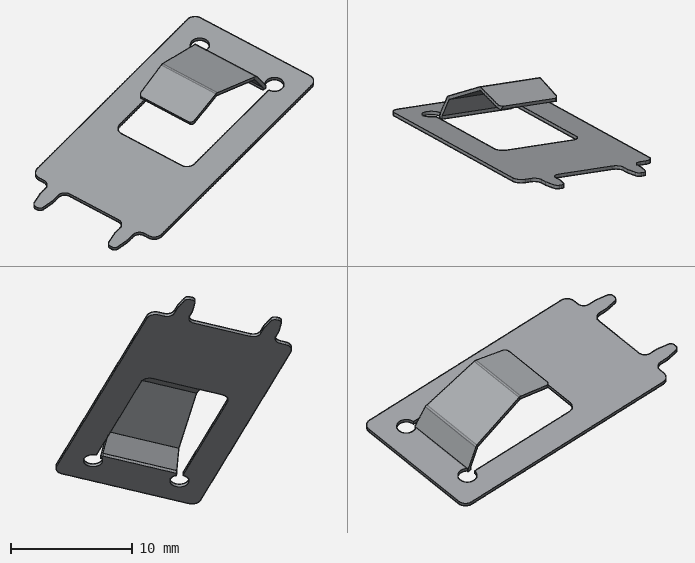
import cadquery as cq
import math

sheet = 0.3
length = 25.4
width = 12.7
total_height = 4.3
plate_length = 22.58
corner_radius = 0.75
top_y = length / 2
plate_bottom_y = top_y - plate_length

window_half_width = 3.8
window_top_y = top_y - 3.07
window_bottom_y = top_y - 14.5
relief_y = top_y - 2.55
relief_radius = 0.8

prong_x = window_half_width
prong_half_width = 0.65
prong_tip_half_width = 0.4
prong_taper_y = -top_y + 1.4
prong_tip_y = -top_y
prong_tip_radius = 0.38
prong_root_radius = 0.65

root_y = top_y - 3.4
bend_y = top_y - 4.32
bend_z = 1.93
crest_y = top_y - 9.25
crest_z = total_height - sheet
end_y = top_y - 12.52
end_z = 3.18

root_half_width = 3.33
bend_half_width = 3.1
crest_half_width = 2.8
end_half_width = 2.72
tongue_corner_radius = 0.38


def make_prong(x):
    prong = (
        cq.Workplane("XY")
        .moveTo(x - prong_half_width, plate_bottom_y + corner_radius)
        .lineTo(x - prong_half_width, prong_taper_y)
        .lineTo(x - prong_tip_half_width, prong_tip_y)
        .lineTo(x + prong_tip_half_width, prong_tip_y)
        .lineTo(x + prong_half_width, prong_taper_y)
        .lineTo(x + prong_half_width, plate_bottom_y + corner_radius)
        .close()
        .extrude(sheet)
    )
    return prong.edges("|Z and <Y").fillet(prong_tip_radius)


def make_plate():
    plate = (
        cq.Workplane("XY")
        .rect(width, plate_length)
        .extrude(sheet)
        .translate((0, (top_y + plate_bottom_y) / 2, 0))
        .edges("|Z")
        .fillet(corner_radius)
    )
    for x in (-prong_x, prong_x):
        plate = plate.union(make_prong(x))
        for side in (-1, 1):
            root = cq.selectors.NearestToPointSelector(
                (x + side * prong_half_width, plate_bottom_y, sheet / 2)
            )
            plate = plate.edges("|Z").edges(root).fillet(prong_root_radius)
    return plate


def make_window():
    window_length = window_top_y - window_bottom_y
    window = (
        cq.Workplane("XY")
        .rect(2 * window_half_width, window_length)
        .extrude(sheet)
        .translate((0, (window_top_y + window_bottom_y) / 2, 0))
        .edges("|Z and <Y")
        .fillet(corner_radius)
    )
    reliefs = (
        cq.Workplane("XY")
        .pushPoints([(-window_half_width, relief_y), (window_half_width, relief_y)])
        .circle(relief_radius)
        .extrude(sheet)
    )
    return window.union(reliefs)


def upper_point(lower, angle):
    """Point one sheet thickness above a lower-face point, on a face rising at the given angle."""
    y, z = lower
    return (y + sheet * math.sin(angle), z + sheet * math.cos(angle))


def make_tongue():
    root = (root_y, sheet)
    bend = (bend_y, bend_z)
    crest = (crest_y, crest_z)
    end = (end_y, end_z)
    root_angle = math.atan2(bend_z - sheet, root_y - bend_y)
    back_angle = math.atan2(crest_z - bend_z, bend_y - crest_y)
    end_angle = math.atan2(end_z - crest_z, crest_y - end_y)
    upper_root_y = root_y + sheet / math.sin(root_angle)
    strip = (
        cq.Workplane("YZ")
        .moveTo(upper_root_y, 0)
        .lineTo(upper_root_y, sheet)
        .lineTo(*upper_point(bend, root_angle))
        .threePointArc(upper_point(bend, (root_angle + back_angle) / 2), upper_point(bend, back_angle))
        .lineTo(*upper_point(crest, back_angle))
        .threePointArc(upper_point(crest, (back_angle + end_angle) / 2), upper_point(crest, end_angle))
        .lineTo(*upper_point(end, end_angle))
        .lineTo(*end)
        .lineTo(*crest)
        .lineTo(*bend)
        .lineTo(*root)
        .lineTo(root_y, 0)
        .close()
        .extrude(root_half_width, both=True)
    )
    tip_y = upper_point(end, end_angle)[0]
    right_edge = [
        (root_half_width, upper_root_y),
        (bend_half_width, bend_y),
        (crest_half_width, crest_y),
        (end_half_width, tip_y),
    ]
    left_edge = [(-x, y) for x, y in reversed(right_edge)]
    outline = (
        cq.Workplane("XY")
        .polyline(right_edge + left_edge)
        .close()
        .extrude(total_height)
        .edges("|Z and <Y")
        .fillet(tongue_corner_radius)
    )
    return strip.intersect(outline)


result = make_plate().cut(make_window()).union(make_tongue())